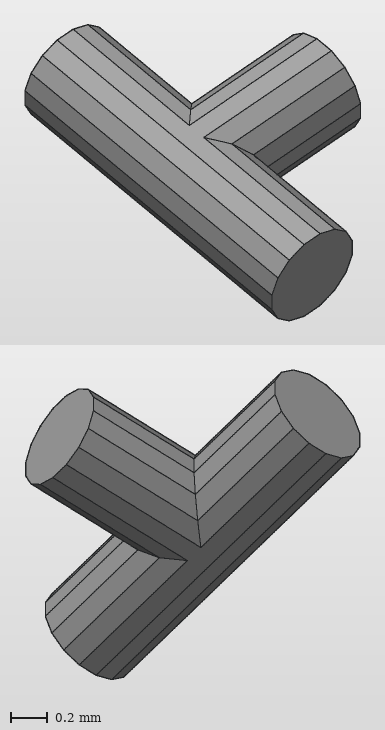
import cadquery as cq
import math

bar_length = 2.0
overall_depth = 1.29
across_flats = 0.59
side_count = 16

branch_length = overall_depth - across_flats / 2
across_corners = across_flats / math.cos(math.pi / side_count)
half_side_angle = 180 / side_count


def polygon_bar(plane, length):
    """Bar along the plane's normal, with flats facing the plane's own axes."""
    return (
        cq.Workplane(plane)
        .transformed(rotate=(0, 0, half_side_angle))
        .polygon(side_count, across_corners)
        .extrude(length)
    )


main_bar = polygon_bar("YZ", bar_length).translate((-bar_length / 2, 0, 0))

branch = polygon_bar("ZX", branch_length)

result = main_bar.union(branch)